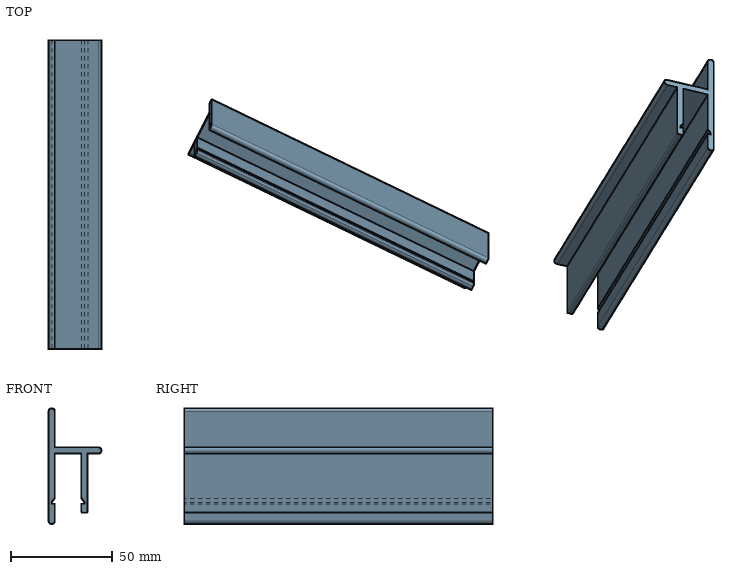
import cadquery as cq

length = 152.4
width = 26.2
height = 57.2

thickness = 3.2
flange_top = 38.0
leg_outer_face = 19.4
leg_bottom = 5.5
leg_corner_radius = 0.9

groove_bottom = 10.0
groove_back_top = 10.8
groove_top = 12.8
groove_depth = 1.5

end_radius = thickness / 2
flange_bottom = flange_top - thickness
leg_inner_face = leg_outer_face - thickness


def make_wall():
    """Tall wall with fully rounded upper and lower edges."""
    return (
        cq.Workplane("XZ")
        .moveTo(0, end_radius)
        .lineTo(0, height - end_radius)
        .threePointArc((end_radius, height), (thickness, height - end_radius))
        .lineTo(thickness, end_radius)
        .threePointArc((end_radius, 0), (0, end_radius))
        .close()
        .extrude(length)
    )


def make_flange():
    """Horizontal flange with a fully rounded free edge."""
    root = end_radius
    return (
        cq.Workplane("XZ")
        .moveTo(root, flange_bottom)
        .lineTo(width - end_radius, flange_bottom)
        .threePointArc((width, flange_top - end_radius), (width - end_radius, flange_top))
        .lineTo(root, flange_top)
        .close()
        .extrude(length)
    )


def make_leg():
    """Shorter leg hanging from the flange, with rounded lower corners."""
    leg_top = flange_top - end_radius
    return (
        cq.Workplane("XZ")
        .moveTo(leg_inner_face, leg_bottom)
        .lineTo(leg_outer_face, leg_bottom)
        .lineTo(leg_outer_face, leg_top)
        .lineTo(leg_inner_face, leg_top)
        .close()
        .extrude(length)
        .edges("|Y and <Z")
        .fillet(leg_corner_radius)
    )


def make_groove(face_x, direction):
    """Snap groove cut into a face; direction is +1 or -1 along X."""
    back_x = face_x + direction * groove_depth
    return (
        cq.Workplane("XZ")
        .moveTo(face_x, groove_bottom)
        .lineTo(back_x, groove_bottom)
        .lineTo(back_x, groove_back_top)
        .lineTo(face_x, groove_top)
        .close()
        .extrude(length)
    )


profile = make_wall().union(make_flange()).union(make_leg())

for face_x, direction in ((thickness, -1), (leg_inner_face, 1)):
    profile = profile.cut(make_groove(face_x, direction))

result = profile.translate((-width / 2, length / 2, -height / 2))